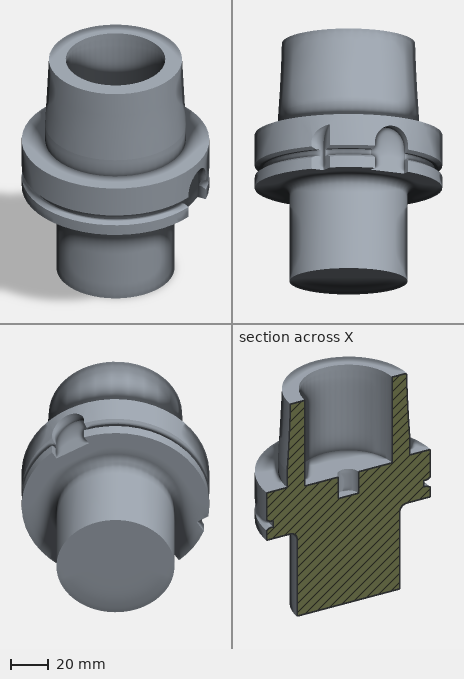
import cadquery as cq

total_height = 130.0
flange_bottom = 51.0
flange_top = 80.0
cone_bottom = 90.0

flange_radius = 100.0 / 2
shank_radius = 62.9 / 2
shank_fillet = 4.0
collar_radius = 75.0 / 2
cone_top_radius = 71.0 / 2

groove_center = flange_bottom + 9.1
groove_radius = 45.9
groove_bevel_radius = 47.7
groove_width = 3.5
groove_mouth_width = 6.1

bore_radius = 53.0 / 2
bore_depth = 52.0
small_bore_radius = 12.0 / 2
small_bore_depth = 13.0

slot_width = 20.0
slot_radius = slot_width / 2
slot_arc_center = flange_bottom + 13.9
drive_slot_floor = 44.2
notch_floor = 31.6
notch_wall = 31.3
notch_center = notch_wall + slot_radius


def make_body():
    """Revolve the solid outline: shank, grooved flange, collar and cone."""
    half_width = groove_width / 2
    half_mouth = groove_mouth_width / 2
    fillet_start = flange_bottom - shank_fillet
    fillet_outer = shank_radius + shank_fillet
    fillet_middle_offset = shank_fillet * (1 - 0.5 ** 0.5)
    return (
        cq.Workplane("XZ")
        .lineTo(shank_radius, 0)
        .lineTo(shank_radius, fillet_start)
        .threePointArc(
            (shank_radius + fillet_middle_offset, flange_bottom - fillet_middle_offset),
            (fillet_outer, flange_bottom),
        )
        .lineTo(flange_radius, flange_bottom)
        .lineTo(flange_radius, groove_center - half_mouth)
        .lineTo(groove_bevel_radius, groove_center - half_width)
        .lineTo(groove_radius, groove_center - half_width)
        .lineTo(groove_radius, groove_center + half_width)
        .lineTo(groove_bevel_radius, groove_center + half_width)
        .lineTo(flange_radius, groove_center + half_mouth)
        .lineTo(flange_radius, flange_top)
        .lineTo(collar_radius, flange_top)
        .lineTo(collar_radius, cone_bottom)
        .lineTo(cone_top_radius, total_height)
        .lineTo(0, total_height)
        .close()
        .revolve(360, (0, 0, 0), (0, 1, 0))
    )


def bore_cutter(radius, top, depth):
    """Cylinder going down from the given height."""
    return cq.Workplane("XY").workplane(offset=top - depth).circle(radius).extrude(depth)


def slot_cutter(floor, sideways=0):
    """Round-topped slot cutter running outward along +X from its flat floor."""
    return (
        cq.Workplane("YZ", origin=(floor, sideways, 0))
        .moveTo(-slot_radius, flange_bottom)
        .lineTo(-slot_radius, slot_arc_center)
        .threePointArc((0, slot_arc_center + slot_radius), (slot_radius, slot_arc_center))
        .lineTo(slot_radius, flange_bottom)
        .close()
        .extrude(flange_radius)
    )


def turned(cutter, angle):
    """Turn a cutter about the part axis."""
    return cutter.rotate((0, 0, 0), (0, 0, 1), angle)


result = make_body()

result = result.cut(bore_cutter(bore_radius, total_height, bore_depth))
result = result.cut(bore_cutter(small_bore_radius, total_height - bore_depth, small_bore_depth))

for angle in (0, 180):
    result = result.cut(turned(slot_cutter(drive_slot_floor), angle))

result = result.cut(turned(slot_cutter(notch_floor, notch_center), 90))